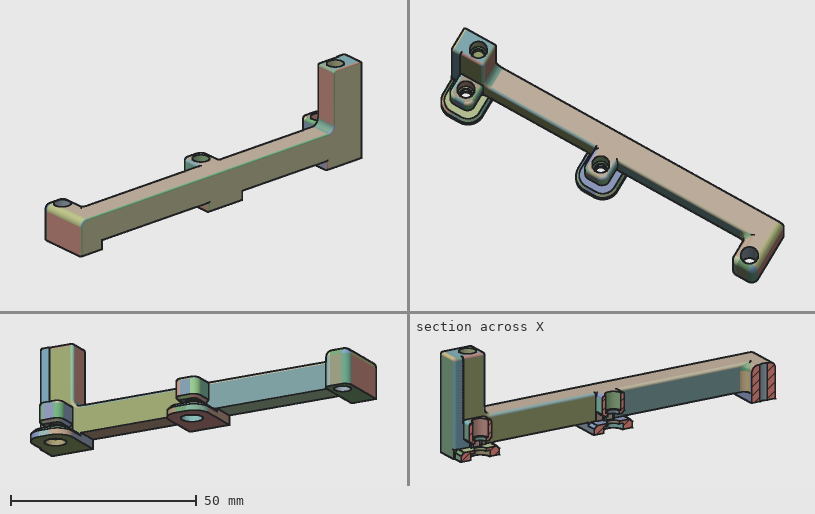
import cadquery as cq

TOTAL_LENGTH = 99.75
TOTAL_WIDTH = 16.5
TOTAL_HEIGHT = 28.7

BAR_BOTTOM = 2.7
BAR_TOP = 10.7
BAR_LEFT_FRONT = 9.1
BAR_LEFT = 9.4
COLUMN_LEFT_REAR = 9.1
INSIDE_BAR_X = (BAR_LEFT + TOTAL_WIDTH) / 2
COLUMN_DEPTH = 10.1
COLUMN_FRONT = TOTAL_LENGTH - COLUMN_DEPTH
COLUMN_FILLET = 2.0
EDGE_ROUND = 0.8
OUTER_ROUND = 0.4

FOOT_LEFT = 0.3
FOOT_WIDTH = 7.6
FOOT_ROUND = 2.0
FOOT_CORNER_FILLET = 2.0

REAR_CLIP_Y = 93.3
CLIP_PITCH = 42.0
CLIP_CENTRES = (REAR_CLIP_Y, REAR_CLIP_Y - CLIP_PITCH)
FLANGE_HALF_WIDTH = 6.1
FLANGE_CORNER = 4.5
FLANGE_CHAMFER = 0.9
BOSS_LEFT = 2.3
BOSS_HALF_WIDTH = 3.6
BOSS_BOTTOM = 4.6
BOSS_CORNER = 2.1
BOSS_CHAMFER = 0.9
GAP_WALL_LEFT = 9.1
RIB_LEFT = 8.3
RIB_HALF_WIDTH = 1.6

BORE_DIAMETER = 4.7
PILOT_DIAMETER = 3.5
BORE_DEPTH = 5.0
PILOT_DEPTH = 2.0
SCREW_RECESS_DIAMETER = 6.0
SCREW_RECESS_DEPTH = 1.8
CLIP_HOLE_X = 6.2
COLUMN_HOLE_X = 12.9
FOOT_HOLE_X = 4.2


def block(x, y, z):
    """Box spanning the given (low, high) pairs."""
    size = [high - low for low, high in (x, y, z)]
    return cq.Workplane("XY").box(*size, centered=False).translate((x[0], y[0], z[0]))


def cylinder(x, y, diameter, bottom, top):
    """Vertical cylinder between two heights."""
    return cq.Workplane("XY", origin=(x, y, bottom)).circle(diameter / 2).extrude(top - bottom)


def bar_with_column():
    """L-shaped side profile with a filleted inner corner, rounded along its upper edges."""
    body = (
        cq.Workplane("YZ", origin=(BAR_LEFT, 0, 0))
        .moveTo(FOOT_WIDTH / 2, BAR_BOTTOM)
        .lineTo(TOTAL_LENGTH, BAR_BOTTOM)
        .lineTo(TOTAL_LENGTH, TOTAL_HEIGHT)
        .lineTo(COLUMN_FRONT, TOTAL_HEIGHT)
        .lineTo(COLUMN_FRONT, BAR_TOP + COLUMN_FILLET)
        .radiusArc((COLUMN_FRONT - COLUMN_FILLET, BAR_TOP), COLUMN_FILLET)
        .lineTo(FOOT_WIDTH / 2, BAR_TOP)
        .close()
        .extrude(TOTAL_WIDTH - BAR_LEFT)
    )
    left_edges = body.faces("<X").edges("not(<Z or <Y)")
    top_edges = body.faces(">Z").edges("|X")
    return body.newObject(left_edges.vals() + top_edges.vals()).fillet(EDGE_ROUND)


def column_rear_pad():
    """Thin step on the column's -X face, from the rear clip's boss to the back."""
    front = REAR_CLIP_Y + BOSS_HALF_WIDTH
    pad = block((COLUMN_LEFT_REAR, INSIDE_BAR_X), (front, TOTAL_LENGTH), (BAR_BOTTOM, TOTAL_HEIGHT))
    return pad.edges("(<X and >Y) or (<X and >Z) or (>Y and >Z)").fillet(EDGE_ROUND)


def front_bar():
    """Slightly wider stretch of bar between the foot and the middle clip."""
    rear = CLIP_CENTRES[1] + BOSS_HALF_WIDTH
    stretch = block((BAR_LEFT_FRONT, TOTAL_WIDTH), (FOOT_WIDTH / 2, rear), (BAR_BOTTOM, BAR_TOP))
    return stretch.edges("<X and >Z").fillet(EDGE_ROUND)


def foot():
    """Rounded block across the front end of the bar."""
    body = block((FOOT_LEFT, TOTAL_WIDTH), (0, FOOT_WIDTH), (0, BAR_TOP))
    body = body.edges("(|Z and <X) or (>Z and (not >X))").fillet(FOOT_ROUND)
    bar_span = (BAR_LEFT_FRONT + EDGE_ROUND, TOTAL_WIDTH)
    return body.union(block(bar_span, (FOOT_WIDTH / 2, FOOT_WIDTH), (BAR_BOTTOM, BAR_TOP)))


def fillet_foot_corner(body):
    """Round the concave corner between the foot and the bar; the fillet follows the foot's rounded top."""
    corner = (BAR_LEFT_FRONT, FOOT_WIDTH, (BAR_BOTTOM + BAR_TOP) / 2)
    return body.edges(cq.selectors.NearestToPointSelector(corner)).fillet(FOOT_CORNER_FILLET)


def flange(y):
    """Chamfered round-cornered tab, with a plain block carrying it on under the bar."""
    span = (y - FLANGE_HALF_WIDTH, y + FLANGE_HALF_WIDTH)
    tab = block((0, TOTAL_WIDTH), span, (0, BAR_BOTTOM)).edges("|Z and <X").fillet(FLANGE_CORNER)
    tab = tab.faces(">Z").edges("not >X").chamfer(FLANGE_CHAMFER)
    return tab.union(block((BAR_LEFT, TOTAL_WIDTH), span, (0, BAR_BOTTOM)))


def boss(y):
    """Round-cornered block reaching out from the bar above the flange."""
    span = (y - BOSS_HALF_WIDTH, y + BOSS_HALF_WIDTH)
    body = block((BOSS_LEFT, INSIDE_BAR_X), span, (BOSS_BOTTOM, BAR_TOP))
    body = body.edges("|Z and <X").fillet(BOSS_CORNER)
    body = body.faces(">Z").edges("not >X").fillet(EDGE_ROUND)
    return body.faces("<Z").edges("not >X").chamfer(BOSS_CHAMFER)


def gap_wall(y):
    """Wall closing the gap on the bar side, with a narrower rib reaching in towards the hole."""
    height = (BAR_BOTTOM, BOSS_BOTTOM + BOSS_CHAMFER)
    wall = block((GAP_WALL_LEFT, INSIDE_BAR_X), (y - BOSS_HALF_WIDTH, y + BOSS_HALF_WIDTH), height)
    rib = block((RIB_LEFT, INSIDE_BAR_X), (y - RIB_HALF_WIDTH, y + RIB_HALF_WIDTH), height)
    return wall.union(rib)


def stepped_bore(x, y, top, pilot_bottom):
    """Wide bore from the top followed by a narrower pilot hole."""
    bore = cylinder(x, y, BORE_DIAMETER, top - BORE_DEPTH, top)
    return bore.union(cylinder(x, y, PILOT_DIAMETER, pilot_bottom, top))


result = bar_with_column().union(front_bar()).union(foot())
result = fillet_foot_corner(result).union(column_rear_pad())

for clip_y in CLIP_CENTRES:
    result = result.union(flange(clip_y)).union(boss(clip_y)).union(gap_wall(clip_y))

result = result.union(block((BAR_LEFT, TOTAL_WIDTH), (REAR_CLIP_Y, TOTAL_LENGTH), (0, BAR_BOTTOM)))

result = result.faces(">X").edges().fillet(OUTER_ROUND)

for clip_y in CLIP_CENTRES:
    result = result.cut(stepped_bore(CLIP_HOLE_X, clip_y, BAR_TOP, 0))
    result = result.cut(cylinder(CLIP_HOLE_X, clip_y, BORE_DIAMETER, BAR_BOTTOM, BOSS_BOTTOM))
    result = result.cut(cylinder(CLIP_HOLE_X, clip_y, SCREW_RECESS_DIAMETER, 0, SCREW_RECESS_DEPTH))

column_pilot_bottom = TOTAL_HEIGHT - BORE_DEPTH - PILOT_DEPTH
result = result.cut(stepped_bore(COLUMN_HOLE_X, REAR_CLIP_Y, TOTAL_HEIGHT, column_pilot_bottom))
result = result.cut(cylinder(FOOT_HOLE_X, FOOT_WIDTH / 2, BORE_DIAMETER, 0, BAR_TOP))